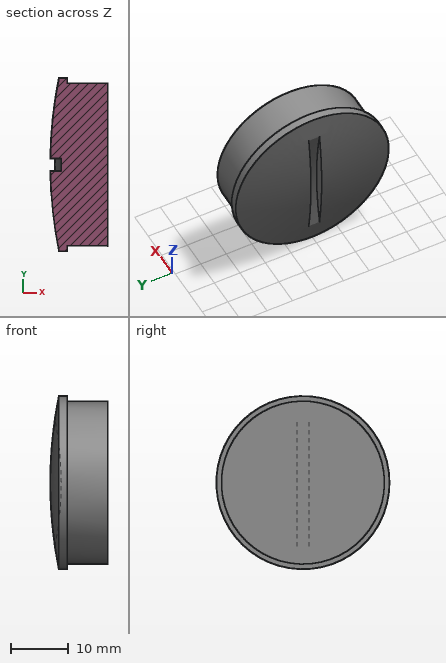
import cadquery as cq

flange_diameter = 30.0
flange_thickness = 1.5
plug_diameter = 28.2
plug_length = 7.0
dome_height = 1.5

slot_width = 2.1
slot_length = 22.0
slot_depth = 1.9

flange_radius = flange_diameter / 2
plug_radius = plug_diameter / 2
flange_front = dome_height
flange_back = flange_front + flange_thickness
plug_back = flange_back + plug_length

dome_radius = (flange_radius**2 + dome_height**2) / (2 * dome_height)


def dome_x(radial_distance):
    """X position of the dome surface at a distance from the axis."""
    return dome_radius - (dome_radius**2 - radial_distance**2) ** 0.5


def make_body():
    """Dome, flange and plug revolved about the X axis."""
    half_radius = flange_radius / 2
    return (
        cq.Workplane("XY")
        .moveTo(0, 0)
        .threePointArc((dome_x(half_radius), half_radius), (flange_front, flange_radius))
        .lineTo(flange_back, flange_radius)
        .lineTo(flange_back, plug_radius)
        .lineTo(plug_back, plug_radius)
        .lineTo(plug_back, 0)
        .close()
        .revolve(360, (0, 0, 0), (1, 0, 0))
    )


def make_slot_cutter():
    """Disc-shaped cut that runs out at the dome surface at both slot ends."""
    half_length = slot_length / 2
    end_x = dome_x(half_length)
    floor_sag = slot_depth - end_x
    floor_radius = (half_length**2 + floor_sag**2) / (2 * floor_sag)
    return (
        cq.Workplane("XZ")
        .center(slot_depth - floor_radius, 0)
        .circle(floor_radius)
        .extrude(slot_width / 2, both=True)
    )


result = make_body().cut(make_slot_cutter())